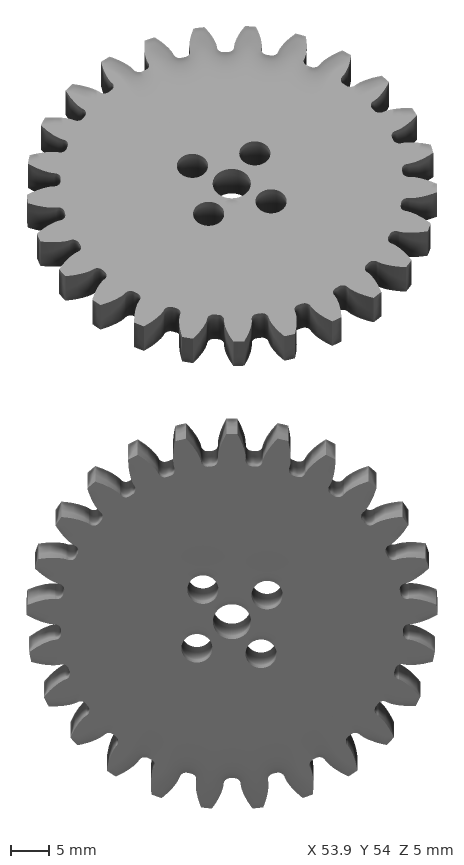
import cadquery as cq
import math

tooth_count = 25
pressure_angle = math.radians(20)
overall_width = 53.95
thickness = 5.0
root_fillet = 0.85
bore_diameter = 5.0
bolt_hole_diameter = 4.1
bolt_hole_offset = 6.0
bolt_hole_count = 4
dedendum_factor = 1.25
flank_point_count = 6

tooth_pitch = 2 * math.pi / tooth_count


def involute(angle):
    """Involute function: the roll-off angle at a given pressure angle."""
    return math.tan(angle) - angle


base_half_angle = tooth_pitch / 4 + involute(pressure_angle)
tip_pressure_angle = math.acos(math.cos(pressure_angle) * tooth_count / (tooth_count + 2))
tip_half_angle = base_half_angle - involute(tip_pressure_angle)

tip_radius = overall_width / 2 / math.cos(tooth_pitch / 4 - tip_half_angle)
module = 2 * tip_radius / (tooth_count + 2)
pitch_radius = module * tooth_count / 2
base_radius = pitch_radius * math.cos(pressure_angle)
root_radius = pitch_radius - dedendum_factor * module


def polar(radius, angle):
    return (radius * math.cos(angle), radius * math.sin(angle))


def flank_points(centre_angle, side):
    """Involute flank from base circle to tip; side is -1 (clockwise) or +1."""
    points = []
    for i in range(flank_point_count):
        radius = base_radius + (tip_radius - base_radius) * i / (flank_point_count - 1)
        roll_off = involute(math.acos(base_radius / radius))
        points.append(polar(radius, centre_angle + side * (base_half_angle - roll_off)))
    return points


def make_blank():
    """Toothed disc, with radial flanks below the base circle and filleted roots."""
    outline = cq.Workplane("XY").moveTo(*polar(root_radius, -base_half_angle))
    for tooth in range(tooth_count):
        centre = tooth * tooth_pitch
        rising = flank_points(centre, -1)
        falling = flank_points(centre, 1)[::-1]
        next_root = polar(root_radius, centre + tooth_pitch - base_half_angle)
        outline = (
            outline.lineTo(*rising[0])
            .spline(rising[1:], includeCurrent=True)
            .threePointArc(polar(tip_radius, centre), falling[0])
            .spline(falling[1:], includeCurrent=True)
            .lineTo(*polar(root_radius, centre + base_half_angle))
            .threePointArc(polar(root_radius, centre + tooth_pitch / 2), next_root)
        )
    blank = outline.close().extrude(thickness)

    def is_root_corner(edge):
        corner = edge.Center()
        return math.hypot(corner.x, corner.y) < (root_radius + base_radius) / 2

    return blank.edges("|Z").filter(is_root_corner).fillet(root_fillet)


def cut_holes(gear):
    """Central bore and the ring of bolt holes, all through."""
    gear = gear.faces(">Z").workplane(origin=(0, 0, thickness)).hole(bore_diameter)
    return (
        gear.faces(">Z").workplane(origin=(0, 0, thickness))
        .polarArray(bolt_hole_offset, 0, 360, bolt_hole_count)
        .hole(bolt_hole_diameter)
    )


result = cut_holes(make_blank())